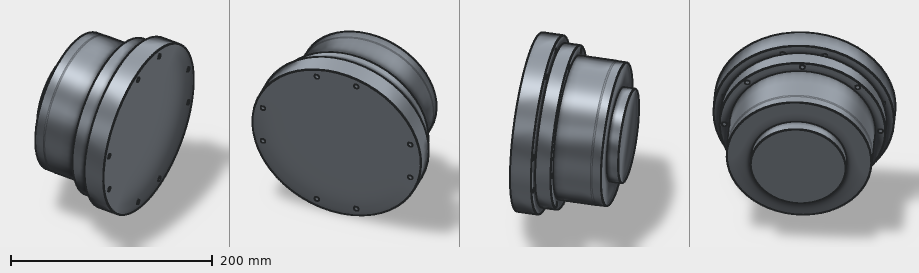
import cadquery as cq
import math

HUB_DIAMETER = 95.0
COVER_DIAMETER = 144.4
BODY_DIAMETER = 144.9
FLANGE_DIAMETER = 165.2
NECK_DIAMETER = 90.0
PLATE_DIAMETER = 180.0

HUB_LENGTH = 12.0
COVER_LENGTH = 9.5
TAPER_LENGTH = 1.6
BODY_LENGTH = 37.6
FLANGE_LENGTH = 16.2
NECK_LENGTH = 2.0
PLATE_LENGTH = 22.0

EDGE_CHAMFER = 0.5

HOLE_DIAMETER = 5.0
FLANGE_HOLE_COUNT = 8
FLANGE_HOLE_CIRCLE_RADIUS = 77.5
PLATE_HOLE_PAIRS = 4
PLATE_HOLE_HALF_ANGLE = 15.0
PLATE_HOLE_CIRCLE_RADIUS = 81.2

cover_start = HUB_LENGTH
taper_start = cover_start + COVER_LENGTH
body_start = taper_start + TAPER_LENGTH
flange_start = body_start + BODY_LENGTH
neck_start = flange_start + FLANGE_LENGTH
plate_start = neck_start + NECK_LENGTH
plate_end = plate_start + PLATE_LENGTH


def rim(start, end, diameter, chamfer_start=True, chamfer_end=True):
    """Profile points (x, radius) of one disc, with its rim edges chamfered where asked."""
    radius = diameter / 2
    points = []
    if chamfer_start:
        points += [(start, radius - EDGE_CHAMFER), (start + EDGE_CHAMFER, radius)]
    else:
        points += [(start, radius)]
    if chamfer_end:
        points += [(end - EDGE_CHAMFER, radius), (end, radius - EDGE_CHAMFER)]
    else:
        points += [(end, radius)]
    return points


def make_stepped_body():
    """Solid of revolution; the short taper joins the cover to the slightly larger body."""
    profile = (
        [(0, 0)]
        + rim(0, cover_start, HUB_DIAMETER, chamfer_end=False)
        + rim(cover_start, taper_start, COVER_DIAMETER, chamfer_end=False)
        + rim(body_start, flange_start, BODY_DIAMETER, chamfer_start=False, chamfer_end=False)
        + rim(flange_start, neck_start, FLANGE_DIAMETER)
        + rim(neck_start, plate_start, NECK_DIAMETER, chamfer_start=False, chamfer_end=False)
        + rim(plate_start, plate_end, PLATE_DIAMETER)
        + [(plate_end, 0)]
    )
    return cq.Workplane("XZ").polyline(profile).close().revolve(360, (0, 0, 0), (1, 0, 0))


def bolt_holes(start, length, circle_radius, angles):
    """Cutters for through holes on a bolt circle, at angles in degrees from +Y."""
    centres = [
        (circle_radius * math.cos(math.radians(a)), circle_radius * math.sin(math.radians(a)))
        for a in angles
    ]
    plane = cq.Workplane("YZ").workplane(offset=start)
    return plane.pushPoints(centres).circle(HOLE_DIAMETER / 2).extrude(length)


def make_flange_holes():
    """Evenly spaced holes through the flange."""
    angles = [i * 360 / FLANGE_HOLE_COUNT for i in range(FLANGE_HOLE_COUNT)]
    return bolt_holes(flange_start, FLANGE_LENGTH, FLANGE_HOLE_CIRCLE_RADIUS, angles)


def make_plate_holes():
    """Holes through the plate, in pairs either side of the Y and Z axes."""
    angles = [
        pair * 360 / PLATE_HOLE_PAIRS + side * PLATE_HOLE_HALF_ANGLE
        for pair in range(PLATE_HOLE_PAIRS)
        for side in (-1, 1)
    ]
    return bolt_holes(plate_start, PLATE_LENGTH, PLATE_HOLE_CIRCLE_RADIUS, angles)


result = make_stepped_body().cut(make_flange_holes()).cut(make_plate_holes())